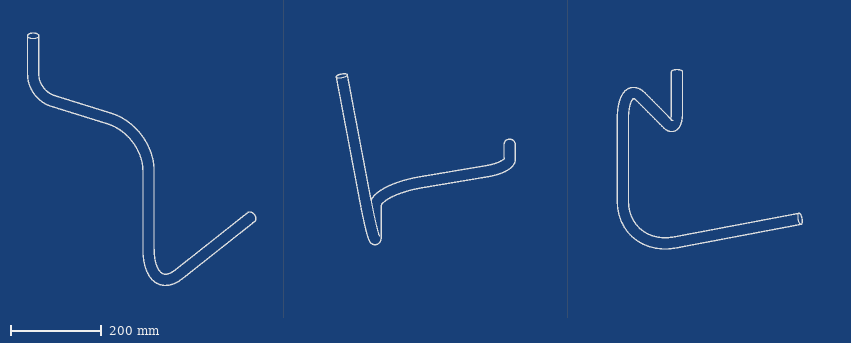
import cadquery as cq
import math

overall_height = 587.5
bar_diameter = 25.0
bar_radius = bar_diameter / 2

upper_bend = 50.0
shoulder_bend = 100.0
foot_bend = 125.0

upper_leg = 100.0
shelf_length = 150.0
foot_length = 300.0

foot_z = bar_radius
shelf_z = overall_height - upper_leg - upper_bend
shoulder_start_x = upper_bend + shelf_length
middle_leg_x = shoulder_start_x + shoulder_bend
middle_leg_top = shelf_z - shoulder_bend
middle_leg_bottom = foot_z + foot_bend
foot_end_y = foot_bend + foot_length


def line(start, end):
    return cq.Edge.makeLine(cq.Vector(*start), cq.Vector(*end))


def bend(start, end, center):
    """Quarter circle from start to end about center."""
    start, end, center = cq.Vector(*start), cq.Vector(*end), cq.Vector(*center)
    toward_start = start - center
    toward_end = end - center
    middle = center + (toward_start + toward_end) * math.sqrt(0.5)
    return cq.Edge.makeThreePointArc(start, middle, end)


top_end = (0, 0, overall_height)
upper_bend_start = (0, 0, shelf_z + upper_bend)
upper_bend_end = (upper_bend, 0, shelf_z)
shoulder_start = (shoulder_start_x, 0, shelf_z)
shoulder_end = (middle_leg_x, 0, middle_leg_top)
foot_bend_start = (middle_leg_x, 0, middle_leg_bottom)
foot_bend_end = (middle_leg_x, foot_bend, foot_z)
foot_end = (middle_leg_x, foot_end_y, foot_z)

centreline = cq.Wire.assembleEdges([
    line(top_end, upper_bend_start),
    bend(upper_bend_start, upper_bend_end, (upper_bend, 0, shelf_z + upper_bend)),
    line(upper_bend_end, shoulder_start),
    bend(shoulder_start, shoulder_end, (shoulder_start_x, 0, middle_leg_top)),
    line(shoulder_end, foot_bend_start),
    bend(foot_bend_start, foot_bend_end, (middle_leg_x, foot_bend, middle_leg_bottom)),
    line(foot_bend_end, foot_end),
])

result = cq.Workplane("XY", origin=top_end).circle(bar_radius).sweep(cq.Workplane(obj=centreline))